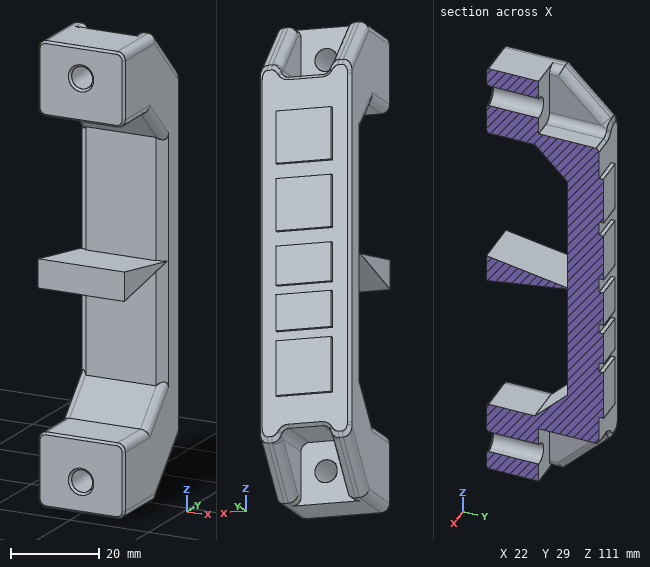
import cadquery as cq

length = 111.0
width = 22.0
body_depth = 28.0
pad_height = 1.0
half_length = length / 2
half_width = width / 2
front = -(body_depth + pad_height) / 2
back = front + body_depth

grip_thickness = 8.0
foot_height = 18.0
outer_bevel = 12.0
inner_bevel = 8.0
grip_front = back - grip_thickness
foot_inside = half_length - foot_height
outer_bend_y = back - outer_bevel
outer_bend_z = half_length - outer_bevel
inner_bend_y = grip_front - inner_bevel
inner_bend_z = foot_inside - inner_bevel

edge_radius = 2.0
grip_chamfer = 2.1
back_chamfer = 0.8
foot_chamfer = 0.5

hole_height = 48.0
hole_diameter = 5.3
hole_chamfer = 0.5
pocket_width = 12.0
pocket_radius = 2.0
pocket_seat = front + 13.0
pocket_floor_drop = 7.0
pocket_floor = hole_height - pocket_floor_drop

wedge_base = 7.0
wedge_length = 21.4

pad_width = 13.2
pad_spans = [(20.6, 32.9), (4.9, 17.1), (-7.8, 1.3), (-18.4, -10.0), (-33.5, -20.8)]

margin = 0.1


def edges_at_x(solid, x, low, high):
    """Edges at -x and +x whose centers lie in a (Y, Z) range, or in its mirror image below Z = 0."""
    picked = []
    for side in (-x, x):
        for end in (-1, 1):
            corner_a = (side - margin, low[0], end * low[1])
            corner_b = (side + margin, high[0], end * high[1])
            picked += solid.edges(cq.selectors.BoxSelector(corner_a, corner_b)).vals()
    return solid.newObject(picked)


def bent_bar():
    """Handle profile across its full width."""
    upper_half = [
        (grip_front, inner_bend_z),
        (inner_bend_y, foot_inside),
        (front, foot_inside),
        (front, half_length),
        (outer_bend_y, half_length),
        (back, outer_bend_z),
    ]
    lower_half = [(y, -z) for y, z in reversed(upper_half)]
    return cq.Workplane("YZ").polyline(upper_half + lower_half).close().extrude(half_width, both=True)


def break_side_edges(bar):
    """Chamfer the inner edges of the grip, then round the edges of feet and bevels."""
    grip_edges = cq.selectors.BoxSelector(
        (-width, grip_front - margin, -margin), (width, grip_front + margin, margin)
    )
    bar = bar.edges(grip_edges).edges("|Z").chamfer(grip_chamfer).clean()
    low = (front + margin, inner_bend_z)
    high = (back - margin, half_length + margin)
    return edges_at_x(bar, half_width, low, high).fillet(edge_radius)


def head_pocket():
    """Pocket of the upper foot, open to the end, the bevel and the back."""
    return (
        cq.Workplane("XY", origin=(0, pocket_seat, pocket_floor))
        .box(pocket_width, body_depth, length, centered=(True, False, False))
        .edges("|Y and <Z")
        .fillet(pocket_radius)
    )


def cut_head_pockets(bar):
    pocket = head_pocket()
    bar = bar.cut(pocket).cut(pocket.mirror("XY"))
    low = (pocket_seat + margin, outer_bend_z + margin)
    high = (back - margin, half_length + margin)
    return edges_at_x(bar, pocket_width / 2, low, high).fillet(edge_radius)


def drill_hole(bar, height):
    """Through hole in a foot, chamfered at its front."""
    bore = cq.Workplane("XZ", origin=(0, back, height)).circle(hole_diameter / 2).extrude(body_depth)
    mouth_radius = hole_diameter / 2 + hole_chamfer
    mouth = cq.Solid.makeCone(
        mouth_radius,
        hole_diameter / 2,
        hole_chamfer,
        pnt=cq.Vector(0, front, height),
        dir=cq.Vector(0, 1, 0),
    )
    return bar.cut(bore).cut(cq.Workplane(mouth))


def wedge():
    outline = [
        (front, -wedge_base / 2),
        (front, wedge_base / 2),
        (front + wedge_length, 0),
    ]
    return cq.Workplane("YZ").polyline(outline).close().extrude(half_width, both=True)


def raised_pad(lower, upper):
    depth = back_chamfer + pad_height
    return cq.Workplane("XY", origin=(0, back - back_chamfer, lower)).box(
        pad_width, depth, upper - lower, centered=(True, False, False)
    )


handle = break_side_edges(bent_bar())
handle = cut_head_pockets(handle)
handle = handle.faces(">Y").chamfer(back_chamfer)
handle = handle.faces("<Y").chamfer(foot_chamfer)
for hole_z in (-hole_height, hole_height):
    handle = drill_hole(handle, hole_z)
handle = handle.union(wedge())
for pad_lower, pad_upper in pad_spans:
    handle = handle.union(raised_pad(pad_lower, pad_upper))

result = handle